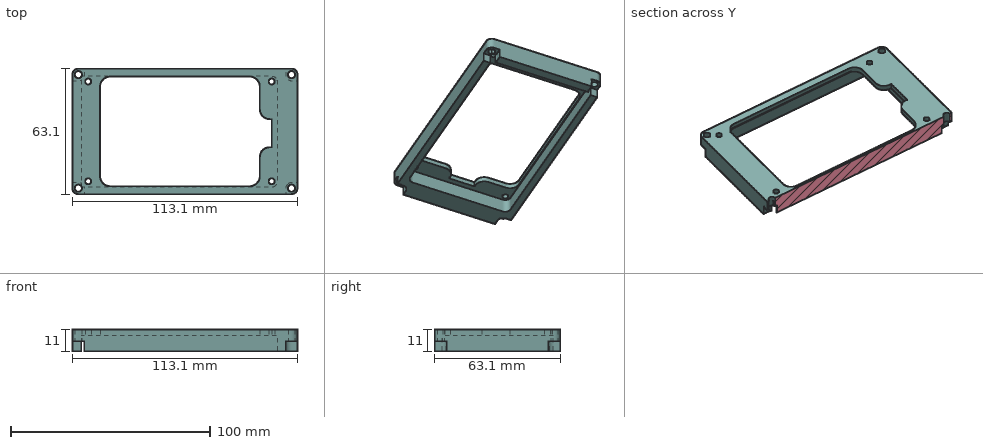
import cadquery as cq

length = 113.1
width = 63.1
height = 11.0
corner_inset = 3.05
min_x = -length / 2
max_x = length / 2
max_y = width / 2

plate_thickness = 3.0
pocket_depth = height - plate_thickness
left_wall = 4.6
right_wall = 10.2
side_wall = 3.7
pocket_right_radius = 3.0

window_left = min_x + 14.0
window_right = max_x - 19.0
window_side_margin = 4.1
window_radius = 5.0
notch_right = max_x - 13.0
notch_width = 14.0
notch_center_y = -0.9
notch_radius = 5.0
pick_margin = 1.0

corner_hole_diameter = 3.5
relief_radius = 3.0
relief_height = 5.0

mount_hole_diameter = 2.9
mount_left = min_x + 8.0
mount_right = max_x - 13.0
mount_y = max_y - 6.5


def box_between(x0, x1, y0, y1, z0, z1):
    """Box given by its opposite limits along each axis."""
    return cq.Workplane("XY").box(x1 - x0, y1 - y0, z1 - z0, centered=False).translate((x0, y0, z0))


def make_body():
    """Rectangular block with rounded vertical corners."""
    block = box_between(min_x, max_x, -max_y, max_y, 0, height)
    return block.edges("|Z").fillet(corner_inset)


def make_pocket():
    """Hollow open at the bottom, square on the left and rounded on the right."""
    pocket_y = max_y - side_wall
    pocket = box_between(min_x + left_wall, max_x - right_wall, -pocket_y, pocket_y, 0, pocket_depth)
    return pocket.edges("|Z and >X").fillet(pocket_right_radius)


def make_window():
    """Rounded window with a notch on its right side, blended by convex arcs."""
    window_y = max_y - window_side_margin
    window = box_between(window_left, window_right, -window_y, window_y, 0, height)
    window = window.edges("|Z").fillet(window_radius)
    notch_low = notch_center_y - notch_width / 2
    notch_high = notch_center_y + notch_width / 2
    notch_start = window_right - window_radius
    notch = box_between(notch_start, notch_right, notch_low, notch_high, 0, height)
    window = window.union(notch)
    mouth_edges = cq.selectors.BoxSelector(
        (window_right - pick_margin, notch_low - pick_margin, 0),
        (window_right + pick_margin, notch_high + pick_margin, height),
    )
    return window.edges("|Z").edges(mouth_edges).fillet(notch_radius)


def make_corner_relief(side_x, side_y):
    """Screw relief: round around the screw axis, open to both outer sides of the corner."""
    screw_x = side_x * (max_x - corner_inset)
    screw_y = side_y * (max_y - corner_inset)
    size = corner_inset + relief_radius
    relief = cq.Workplane("XY").box(size, size, relief_height, centered=(True, True, False))
    inner_x = "<X" if side_x > 0 else ">X"
    inner_y = "<Y" if side_y > 0 else ">Y"
    relief = relief.edges(f"|Z and {inner_x} and {inner_y}").fillet(relief_radius)
    shift = (corner_inset - relief_radius) / 2
    return relief.translate((screw_x + side_x * shift, screw_y + side_y * shift, 0))


def make_holes(points, diameter):
    """Vertical cylinders through the full height."""
    return cq.Workplane("XY").pushPoints(points).circle(diameter / 2).extrude(height)


corners = [(sx, sy) for sx in (-1, 1) for sy in (-1, 1)]
corner_points = [(sx * (max_x - corner_inset), sy * (max_y - corner_inset)) for sx, sy in corners]
mount_points = [(x, y) for x in (mount_left, mount_right) for y in (-mount_y, mount_y)]

result = make_body().cut(make_pocket()).cut(make_window())
for side_x, side_y in corners:
    result = result.cut(make_corner_relief(side_x, side_y))
result = result.cut(make_holes(corner_points, corner_hole_diameter))
result = result.cut(make_holes(mount_points, mount_hole_diameter))